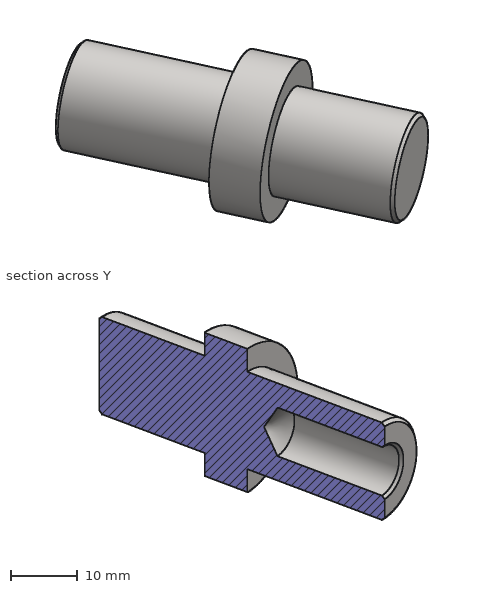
import cadquery as cq
import math

length = 53.6
shaft_diameter = 17.0
end_chamfer = 0.55

collar_diameter = 25.0
collar_start = 25.75
collar_width = 8.1

hole_diameter = 8.35
hole_depth = 20.1
hole_chamfer = 0.5
drill_point_angle = 118.0


def cylinder_along_x(start, diameter, width):
    return cq.Workplane("YZ", origin=(start, 0, 0)).circle(diameter / 2).extrude(width)


def drilled_hole():
    """Revolved cutter with a chamfered mouth and a conical drill point."""
    radius = hole_diameter / 2
    point_depth = radius / math.tan(math.radians(drill_point_angle / 2))
    return (
        cq.Workplane("XY")
        .moveTo(0, 0)
        .lineTo(0, radius + hole_chamfer)
        .lineTo(hole_chamfer, radius)
        .lineTo(hole_depth, radius)
        .lineTo(hole_depth + point_depth, 0)
        .close()
        .revolve(360, (0, 0, 0), (1, 0, 0))
    )


shaft = cylinder_along_x(0, shaft_diameter, length).faces("<X or >X").chamfer(end_chamfer)
collar = cylinder_along_x(collar_start, collar_diameter, collar_width)

result = shaft.union(collar).cut(drilled_hole()).translate((-length / 2, 0, 0))